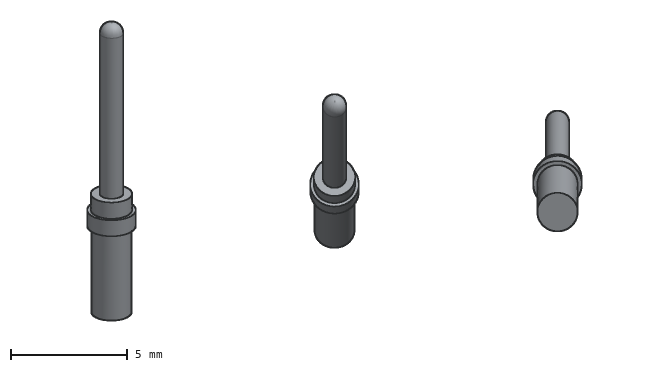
import cadquery as cq

total_length = 13.74
barrel_diameter = 1.73
barrel_length = 4.1
flange_diameter = 2.09
flange_length = 0.75
collar_diameter = 1.77
collar_length = 0.77
pin_diameter = 1.02
tip_round = 0.5

pin_length = total_length - barrel_length - flange_length - collar_length


def add_step(body, diameter, length):
    """Stack a coaxial cylinder on the top face of the body."""
    return body.faces(">Z").workplane().circle(diameter / 2).extrude(length)


result = cq.Workplane("XY").circle(barrel_diameter / 2).extrude(barrel_length)

result = add_step(result, flange_diameter, flange_length)
result = add_step(result, collar_diameter, collar_length)
result = add_step(result, pin_diameter, pin_length)

result = result.faces(">Z").edges().fillet(tip_round)